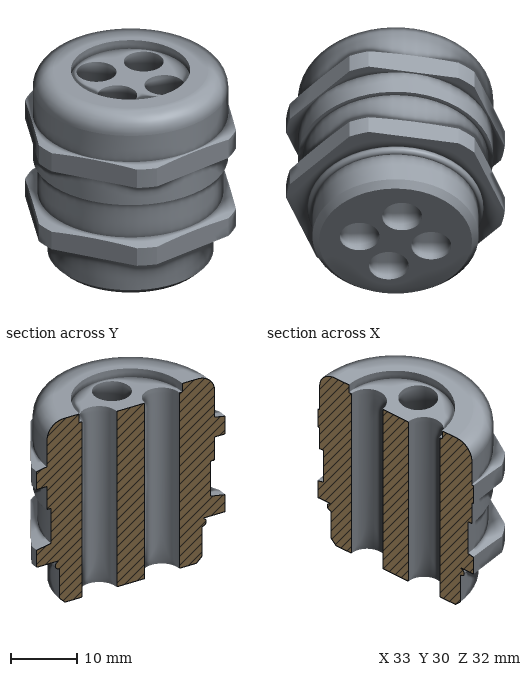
import cadquery as cq
import math

height = 32.0
hex_corner_diameter = 33.0
hex_across_flats = 30.0
hex_sides = 6

thread_top = 6.1
seal_top = 7.5
lower_hex_top = 11.0
body_top = 17.0
upper_hex_bottom = 21.0
upper_hex_top = 24.5

thread_radius = 12.5
thread_chamfer = 1.0
seal_radius = 13.23
body_radius = 14.0
cap_radius = 14.72
cap_rounding = 3.0

hex_bevel_angle = 10.5

recess_radius = 8.98
recess_depth = 1.5
cable_hole_radius = 3.0
cable_hole_offset = 5.48
cable_hole_count = 4


def cylinder(radius, bottom, top):
    return cq.Workplane("XY").workplane(offset=bottom).circle(radius).extrude(top - bottom)


def hex_collar(bottom, top, inner_radius):
    """Hexagon with flats facing Y, corners turned round and the top sloped outside inner_radius."""
    prism = (
        cq.Workplane("XY")
        .workplane(offset=bottom)
        .polygon(hex_sides, hex_across_flats, circumscribed=True)
        .extrude(top - bottom)
        .rotate((0, 0, 0), (0, 0, 1), 180 / hex_sides)
    )
    corner_radius = hex_corner_diameter / 2
    bevel_drop = (corner_radius - inner_radius) * math.tan(math.radians(hex_bevel_angle))
    envelope = (
        cq.Workplane("XZ")
        .moveTo(0, bottom)
        .lineTo(corner_radius, bottom)
        .lineTo(corner_radius, top - bevel_drop)
        .lineTo(inner_radius, top)
        .lineTo(0, top)
        .close()
        .revolve(360, (0, 0, 0), (0, 1, 0))
    )
    return prism.intersect(envelope)


def seal_ring():
    """Sealing ring with a half-round rim."""
    rim_radius = (seal_top - thread_top) / 2
    rim_centre = seal_radius - rim_radius
    return (
        cq.Workplane("XZ")
        .moveTo(0, thread_top)
        .lineTo(rim_centre, thread_top)
        .threePointArc((seal_radius, thread_top + rim_radius), (rim_centre, seal_top))
        .lineTo(0, seal_top)
        .close()
        .revolve(360, (0, 0, 0), (0, 1, 0))
    )


thread = cylinder(thread_radius, 0, seal_top).faces("<Z").chamfer(thread_chamfer)
body = cylinder(body_radius, seal_top, body_top)
cap = cylinder(cap_radius, body_top, height).faces(">Z").edges().fillet(cap_rounding)

gland = (
    thread.union(seal_ring())
    .union(body)
    .union(hex_collar(seal_top, lower_hex_top, body_radius))
    .union(cap)
    .union(hex_collar(upper_hex_bottom, upper_hex_top, cap_radius))
)

recess = cylinder(recess_radius, height - recess_depth, height)
cable_holes = (
    cq.Workplane("XY")
    .polarArray(cable_hole_offset, 0, 360, cable_hole_count)
    .circle(cable_hole_radius)
    .extrude(height)
)

result = gland.cut(recess).cut(cable_holes)